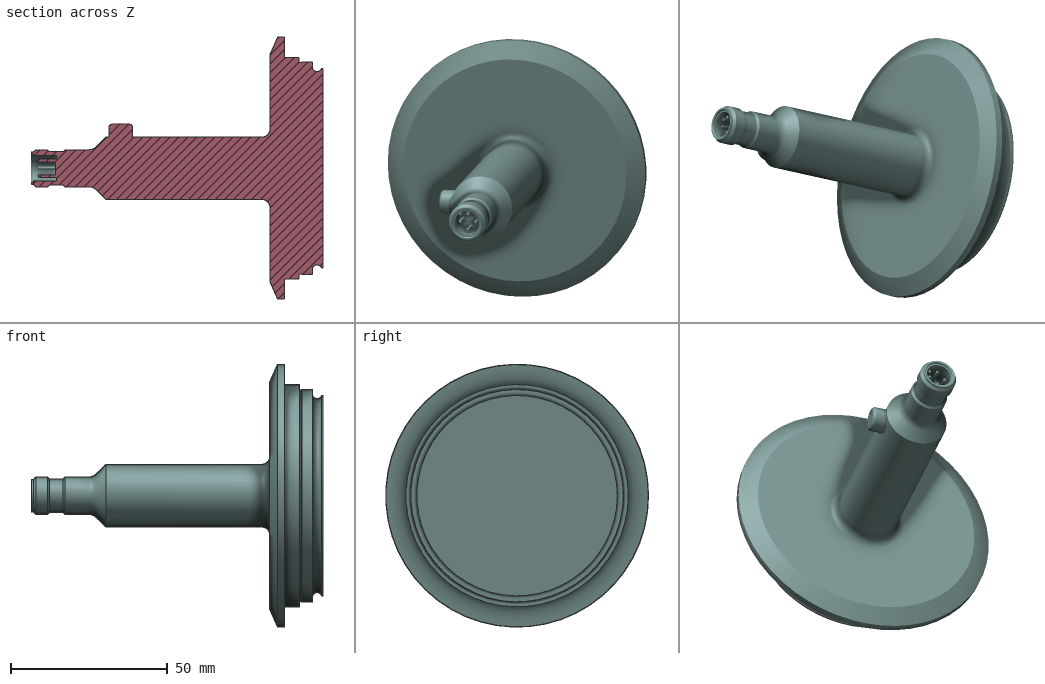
import cadquery as cq
import math

length = 93.2
stem_start = 23.8
flange_face = 76.1

tip_radius = 10.4 / 2
tip_length = 0.65
nose_radius = 12.0 / 2
collar_end = 5.1
groove_radius = 10.8 / 2
groove_end = 10.2

stem_radius = 20.0 / 2
shoulder_blend_radius = 3.2
flange_fillet_radius = 2.5

flange_radius = 84.0 / 2
flange_face_radius = 36.35
flange_rim_start = 78.7
flange_back = 80.9

spigot_radius = 71.0 / 2
spigot_end = 85.65
ring_radius = 68.0 / 2
relief_radius = 33.8
relief_end = 86.2
ring_end = 89.8
lip_radius = 64.0 / 2
lip_length = 0.5
throat_depth = 1.0

mouth_radius = 9.4 / 2
mouth_chamfer = 0.23
counterbore_depth = 0.65
socket_radius = 4.0
socket_depth = 8.0
pin_diameter = 1.0
pin_circle_radius = 2.5
pin_setback = 2.1
pin_count = 4
pin_tip_chamfer = 0.2
floor_rib_height = 0.5
side_rib_reach = 1.8
key_width = pin_diameter
key_tip_radius = 3.1
key_angle = 45.0
key_setback = 2.7

root_overlap = 0.9

button_radius = 7.7 / 2
button_x = 28.5
button_top = 14.2
button_fillet = 1.1


def body():
    """Revolve the half profile (X along the axis, Y as radius) about the X axis."""
    nose_chamfer = nose_radius - tip_radius
    groove_step = nose_radius - groove_radius
    half_root = math.sqrt(0.5)

    blend_rise = shoulder_blend_radius * (1 - half_root)
    blend_end_radius = nose_radius + blend_rise
    blend_end = stem_start - (stem_radius - blend_end_radius)
    blend_start = blend_end - shoulder_blend_radius * half_root
    blend_mid = (
        blend_start + shoulder_blend_radius * math.sin(math.pi / 8),
        nose_radius + shoulder_blend_radius * (1 - math.cos(math.pi / 8)),
    )

    fillet_start = flange_face - flange_fillet_radius
    fillet_mid = (
        fillet_start + flange_fillet_radius * half_root,
        stem_radius + flange_fillet_radius * (1 - half_root),
    )

    ring_chamfer = ring_radius - relief_radius
    lip_start = length - lip_length
    throat_mid = ((ring_end + lip_start) / 2, lip_radius - throat_depth)

    profile = (
        cq.Workplane("XY")
        .moveTo(0, 0)
        .lineTo(0, tip_radius)
        .lineTo(tip_length, tip_radius)
        .lineTo(tip_length + nose_chamfer, nose_radius)
        .lineTo(collar_end, nose_radius)
        .lineTo(collar_end + groove_step, groove_radius)
        .lineTo(groove_end, groove_radius)
        .lineTo(groove_end + groove_step, nose_radius)
        .lineTo(blend_start, nose_radius)
        .threePointArc(blend_mid, (blend_end, blend_end_radius))
        .lineTo(stem_start, stem_radius)
        .lineTo(fillet_start, stem_radius)
        .threePointArc(fillet_mid, (flange_face, stem_radius + flange_fillet_radius))
        .lineTo(flange_face, flange_face_radius)
        .lineTo(flange_rim_start, flange_radius)
        .lineTo(flange_back, flange_radius)
        .lineTo(flange_back, spigot_radius)
        .lineTo(spigot_end, spigot_radius)
        .lineTo(spigot_end, relief_radius)
        .lineTo(relief_end, relief_radius)
        .lineTo(relief_end + ring_chamfer, ring_radius)
        .lineTo(ring_end, ring_radius)
        .lineTo(ring_end, lip_radius)
        .threePointArc(throat_mid, (lip_start, lip_radius))
        .lineTo(length, lip_radius)
        .lineTo(length, 0)
        .close()
    )
    return profile.revolve(360, (0, 0, 0), (1, 0, 0))


def socket():
    """Blind socket with a shallow counterbore that has a chamfered mouth."""
    counterbore_radius = mouth_radius - mouth_chamfer
    return (
        cq.Workplane("XY")
        .moveTo(0, 0)
        .lineTo(0, mouth_radius)
        .lineTo(mouth_chamfer, counterbore_radius)
        .lineTo(counterbore_depth, counterbore_radius)
        .lineTo(counterbore_depth, socket_radius)
        .lineTo(socket_depth, socket_radius)
        .lineTo(socket_depth, 0)
        .close()
        .revolve(360, (0, 0, 0), (1, 0, 0))
    )


def pins():
    """Contact pins with chamfered tips, standing on the socket floor."""
    return (
        cq.Workplane("YZ", origin=(pin_setback, 0, 0))
        .polarArray(pin_circle_radius, 0, 360, pin_count)
        .circle(pin_diameter / 2)
        .extrude(socket_depth - pin_setback + root_overlap)
        .faces("<X")
        .chamfer(pin_tip_chamfer)
    )


def floor_rib(start_y, end_y, z):
    """Low round-ended rib on the socket floor, as wide as a pin, between two end centres."""
    return (
        cq.Workplane("YZ", origin=(socket_depth - floor_rib_height, 0, 0))
        .center((start_y + end_y) / 2, z)
        .slot2D(abs(end_y - start_y) + pin_diameter, pin_diameter)
        .extrude(floor_rib_height + root_overlap)
    )


def floor_ribs():
    """One rib joins the pins on the Y axis; the other two pins each have a rib toward -Y."""
    ribs = floor_rib(-pin_circle_radius, pin_circle_radius, 0)
    for z in (-pin_circle_radius, pin_circle_radius):
        ribs = ribs.union(floor_rib(0, -side_rib_reach, z))
    return ribs


def key():
    """Round-nosed rib on the socket wall, on the +Y +Z side."""
    nose_centre = key_tip_radius + key_width / 2
    rib_length = socket_radius
    rib = (
        cq.Workplane("YZ", origin=(key_setback, 0, 0))
        .center(nose_centre + rib_length / 2, 0)
        .slot2D(rib_length + key_width, key_width)
        .extrude(socket_depth - key_setback + root_overlap)
        .rotate((0, 0, 0), (1, 0, 0), key_angle)
    )
    wall = cq.Workplane("YZ").circle(tip_radius).extrude(socket_depth + root_overlap)
    return rib.intersect(wall)


def button():
    """Round button running from the stem axis out to its filleted top."""
    return (
        cq.Workplane("XZ", origin=(button_x, 0, 0))
        .circle(button_radius)
        .extrude(-button_top)
        .faces(">Y")
        .edges()
        .fillet(button_fillet)
    )


result = body().cut(socket()).union(pins()).union(floor_ribs()).union(key()).union(button())